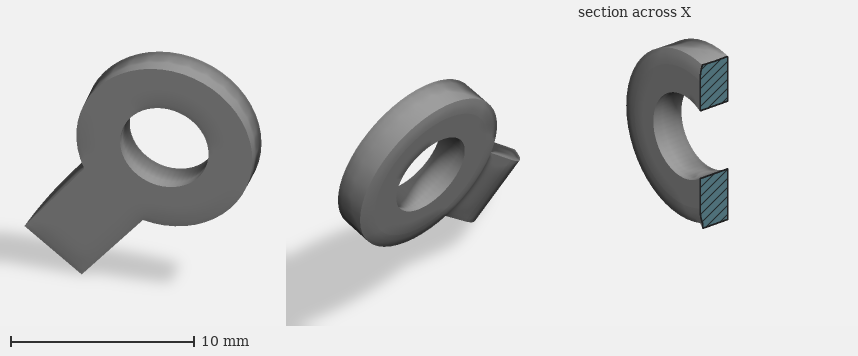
import cadquery as cq
import math

ring_radius = 5.0
hole_diameter = 5.0
total_thickness = 2.0
wall_height = 1.84
wall_draft = 0.6
back_flat_radius = 4.1

arm_thickness = 1.8
arm_angle = 51.4
arm_splay = 2.0
arm_length = 7.5
tip_corner_x = -7.91
tip_corner_z = -6.29
tip_width = 4.14
tip_round_radius = 3.4


def make_ring():
    """Disc with a drafted wall and a rounded rim that blends into its flat back face."""
    front_radius = ring_radius - wall_height * math.tan(math.radians(wall_draft))
    return (
        cq.Workplane("XY")
        .moveTo(0, total_thickness)
        .lineTo(back_flat_radius, total_thickness)
        .tangentArcPoint((ring_radius, wall_height), relative=False)
        .lineTo(front_radius, 0)
        .lineTo(0, 0)
        .close()
        .revolve(360, (0, 0, 0), (0, 1, 0))
    )


def make_arm():
    """Arm outline extruded in depth, then trimmed to the rounded side profile of its tip.

    It is built from its tip corner, with X running along the square edge towards
    the ring, and then turned and moved into place.
    """
    root_width = tip_width + arm_length * math.tan(math.radians(arm_splay))
    outline = (
        cq.Workplane("XZ")
        .polyline([(0, 0), (arm_length, 0), (arm_length, -root_width), (0, -tip_width)])
        .close()
        .extrude(-arm_thickness)
    )
    center_depth = tip_round_radius - arm_thickness
    round_length = math.sqrt(tip_round_radius**2 - center_depth**2)
    side_profile = (
        cq.Workplane("XY")
        .moveTo(arm_length, arm_thickness)
        .lineTo(round_length, arm_thickness)
        .tangentArcPoint((0, 0), relative=False)
        .lineTo(arm_length, 0)
        .close()
        .extrude(-root_width)
    )
    return (
        outline.intersect(side_profile)
        .rotate((0, 0, 0), (0, 1, 0), -arm_angle)
        .translate((tip_corner_x, 0, tip_corner_z))
    )


def make_hole():
    """Cutter for the through hole on the ring axis."""
    return cq.Workplane("XZ").circle(hole_diameter / 2).extrude(-total_thickness)


result = make_ring().union(make_arm()).cut(make_hole())